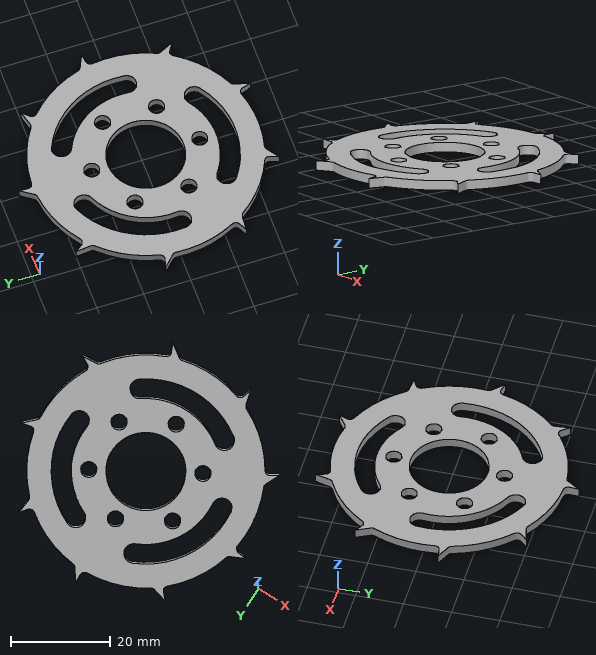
import cadquery as cq
import math

overall_width = 53.2
thickness = 2.0
body_radius = 24.0
bore_diameter = 16.0

bolt_count = 6
bolt_diameter = 3.2
bolt_circle_radius = 11.5

slot_count = 3
slot_mid_radius = 17.0
slot_width = 4.0
slot_half_angle = 36.0
first_slot_angle = 30.0

tooth_count = 9
tooth_pitch = 360.0 / tooth_count
tip_height = overall_width / (2 * math.sin(math.radians(2 * tooth_pitch)))
tip_lean = 0.2
back_foot = 1.9
front_foot = 0.05
root_fillet = 1.0
root_overlap = 2.65


def polar(radius, angle):
    """Point at a radius and an angle in degrees."""
    turn = math.radians(angle)
    return (radius * math.cos(turn), radius * math.sin(turn))


def on_body_edge(x):
    """Point on the upper half of the body rim at a given x."""
    return (x, math.sqrt(body_radius**2 - x**2))


def make_tooth():
    """One asymmetric tooth, its lower end buried in the body."""
    buried_height = body_radius - root_overlap
    outline = [
        (-back_foot, buried_height),
        on_body_edge(-back_foot),
        (tip_lean, tip_height),
        on_body_edge(front_foot),
        (front_foot, buried_height),
    ]
    return cq.Workplane("XY").polyline(outline).close().extrude(thickness)


def make_slot():
    """Round-ended curved slot centred on +X."""
    inner = slot_mid_radius - slot_width / 2
    outer = slot_mid_radius + slot_width / 2
    cap_reach = math.degrees(slot_width / 2 / slot_mid_radius)
    cap_angle = slot_half_angle + cap_reach
    return (
        cq.Workplane("XY")
        .moveTo(*polar(inner, -slot_half_angle))
        .threePointArc((inner, 0), polar(inner, slot_half_angle))
        .threePointArc(polar(slot_mid_radius, cap_angle), polar(outer, slot_half_angle))
        .threePointArc((outer, 0), polar(outer, -slot_half_angle))
        .threePointArc(polar(slot_mid_radius, -cap_angle), polar(inner, -slot_half_angle))
        .close()
        .extrude(thickness)
    )


def turned(shape, angle):
    """Copy of a shape turned about the Z axis."""
    return shape.rotate((0, 0, 0), (0, 0, 1), angle)


disc = cq.Workplane("XY").circle(body_radius).extrude(thickness)
tooth = make_tooth()
for index in range(tooth_count):
    disc = disc.union(turned(tooth, index * tooth_pitch))

for foot_x in (-back_foot, front_foot):
    foot_angle = math.degrees(math.acos(foot_x / body_radius))
    for index in range(tooth_count):
        foot = cq.Vector(*polar(body_radius, foot_angle + index * tooth_pitch), thickness / 2)
        root_edge = disc.edges("|Z").edges(cq.selectors.NearestToPointSelector(foot))
        disc = root_edge.fillet(root_fillet)

disc = disc.cut(cq.Workplane("XY").circle(bore_diameter / 2).extrude(thickness))
bolt_holes = (
    cq.Workplane("XY")
    .polarArray(bolt_circle_radius, 90, 360, bolt_count)
    .circle(bolt_diameter / 2)
    .extrude(thickness)
)
disc = disc.cut(bolt_holes)

slot = make_slot()
for index in range(slot_count):
    disc = disc.cut(turned(slot, first_slot_angle + index * 360 / slot_count))

result = disc